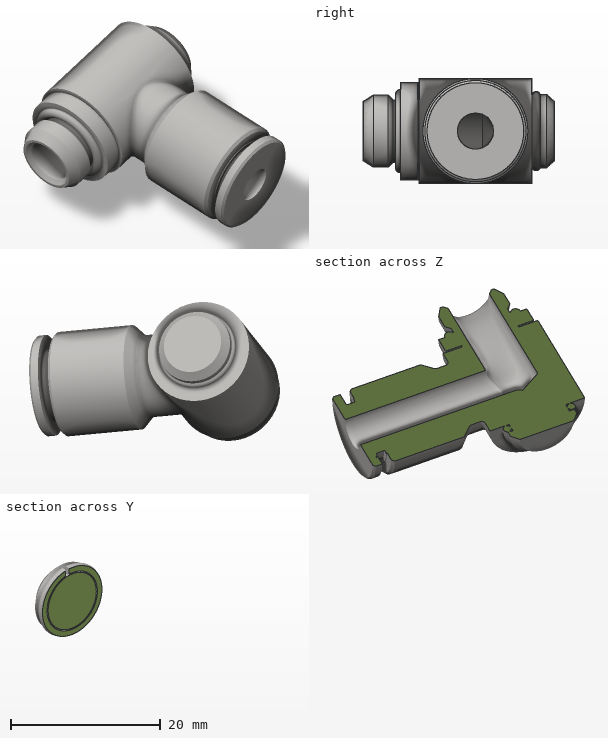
import cadquery as cq


barrel_radius = 7.0
barrel_half_length = 7.52

stem_bottom = -14.98
collar_radius = 6.5
collar_gap = 0.15
collar_top = -barrel_half_length - collar_gap
collar_bottom = -9.98
stem_neck_radius = 4.18
thread_radius = 4.82
thread_neck_end = -11.0
thread_top = thread_neck_end - (thread_radius - stem_neck_radius)
thread_bottom = -13.63
end_face_radius = 3.95
seal_outer_radius = 5.55
seal_tube_radius = 0.7

stem_top = 10.53
cap_radius = 4.9
cap_bottom = 8.65
cap_chamfer_start = 9.5
ring_outer_radius = 5.28
ring_tube_radius = (cap_bottom - barrel_half_length) / 2
ring_gap_width = 0.5
ring_gap_center = -0.85

overall_length = 30.7
arm_end = overall_length - barrel_radius
arm_neck_radius = 5.5
arm_neck_end = 9.0
arm_neck_fillet = 0.77
sleeve_radius = barrel_radius
sleeve_start = arm_neck_end + sleeve_radius - arm_neck_radius
sleeve_end = 21.05
sleeve_chamfer = 0.37
lip_radius = 5.28
lip_length = 0.12
collet_radius = 4.73
flange_radius = 6.75
flange_start = 22.4
flange_chamfer = 0.3
flange_root_fillet = 0.18
junction_fillet = 0.45

bore_radius = 3.0
bore_mouth_radius = 3.55
bore_mouth_depth = bore_mouth_radius - bore_radius
drill_slope = 0.6
drill_tip = 2.75
arm_bore_radius = 2.4

select_margin = 0.03


def revolve_about_y(profile):
    """Revolve (radius, y) points about the Y axis; the last may lie on the axis."""
    points = [(0, profile[0][1])] + profile
    if profile[-1][0] > 0:
        points.append((0, profile[-1][1]))
    return cq.Workplane("XY").polyline(points).close().revolve(360, (0, 0), (0, 1))


def revolve_about_x(profile):
    """Revolve (x, radius) points, closed through the X axis."""
    points = [(profile[0][0], 0)] + profile + [(profile[-1][0], 0)]
    return cq.Workplane("XY").polyline(points).close().revolve(360, (0, 0), (1, 0))


def ring_selector(x, radius):
    """Select the circular edge of about this radius centered on the arm axis at x."""
    reach = radius + select_margin
    return cq.selectors.BoxSelector(
        (x - select_margin, -reach, -reach),
        (x + select_margin, reach, reach),
        boundingbox=True,
    )


def torus_about_y(outer_radius, tube_radius, y):
    center_radius = outer_radius - tube_radius
    section = cq.Workplane("XY").center(center_radius, y).circle(tube_radius)
    return section.revolve(360, (-center_radius, 0), (-center_radius, 1))


def make_barrel_with_neck():
    """Barrel and arm neck, blended where they meet."""
    barrel = revolve_about_y([
        (barrel_radius, -barrel_half_length),
        (barrel_radius, barrel_half_length),
    ])
    neck = revolve_about_x([(0, arm_neck_radius), (arm_neck_end, arm_neck_radius)])
    junction = cq.selectors.BoxSelector(
        (select_margin, -arm_neck_radius, -arm_neck_radius),
        (barrel_radius - select_margin, arm_neck_radius, arm_neck_radius),
    )
    return barrel.union(neck).edges(junction).fillet(junction_fillet)


def make_stem():
    return revolve_about_y([
        (end_face_radius, stem_bottom),
        (thread_radius, thread_bottom),
        (thread_radius, thread_top),
        (stem_neck_radius, thread_neck_end),
        (stem_neck_radius, collar_bottom),
        (collar_radius, collar_bottom),
        (collar_radius, collar_top),
        (stem_neck_radius, collar_top),
        (stem_neck_radius, cap_bottom),
        (cap_radius, cap_bottom),
        (cap_radius, cap_chamfer_start),
        (end_face_radius, stem_top),
    ])


def make_seal():
    """O-ring half sunk into the underside of the collar."""
    return torus_about_y(seal_outer_radius, seal_tube_radius, collar_bottom)


def make_split_ring():
    """Retaining ring between barrel and cap, split on its +Z side."""
    ring_y = barrel_half_length + ring_tube_radius
    ring = torus_about_y(ring_outer_radius, ring_tube_radius, ring_y)
    gap = cq.Workplane("XY").box(
        ring_gap_width, 2 * ring_tube_radius, ring_outer_radius, centered=(True, True, False)
    )
    return ring.cut(gap.translate((ring_gap_center, ring_y, 0)))


def make_sleeve():
    """Sleeve, collet and release flange of the tube arm."""
    sleeve = revolve_about_x([
        (arm_neck_end, arm_neck_radius),
        (sleeve_start, sleeve_radius),
        (sleeve_end - sleeve_chamfer, sleeve_radius),
        (sleeve_end, sleeve_radius - sleeve_chamfer),
        (sleeve_end, lip_radius),
        (sleeve_end + lip_length, lip_radius),
        (sleeve_end + lip_length, collet_radius),
        (flange_start, collet_radius),
        (flange_start, flange_radius),
        (arm_end - flange_chamfer, flange_radius),
        (arm_end, flange_radius - flange_chamfer),
    ])
    return sleeve.edges(ring_selector(flange_start, collet_radius)).fillet(flange_root_fillet)


def make_passages():
    """Drilled stem bore with a conical floor, joined by the arm bore."""
    stem_bore = revolve_about_y([
        (bore_mouth_radius, stem_bottom),
        (bore_radius, stem_bottom + bore_mouth_depth),
        (bore_radius, drill_tip - drill_slope * bore_radius),
        (0, drill_tip),
    ])
    arm_bore = revolve_about_x([(0, arm_bore_radius), (arm_end, arm_bore_radius)])
    return stem_bore.union(arm_bore)


outer = make_barrel_with_neck().union(make_sleeve())
outer = outer.edges(ring_selector(arm_neck_end, arm_neck_radius)).fillet(arm_neck_fillet)
outer = outer.union(make_stem()).union(make_seal()).union(make_split_ring())
result = outer.cut(make_passages())